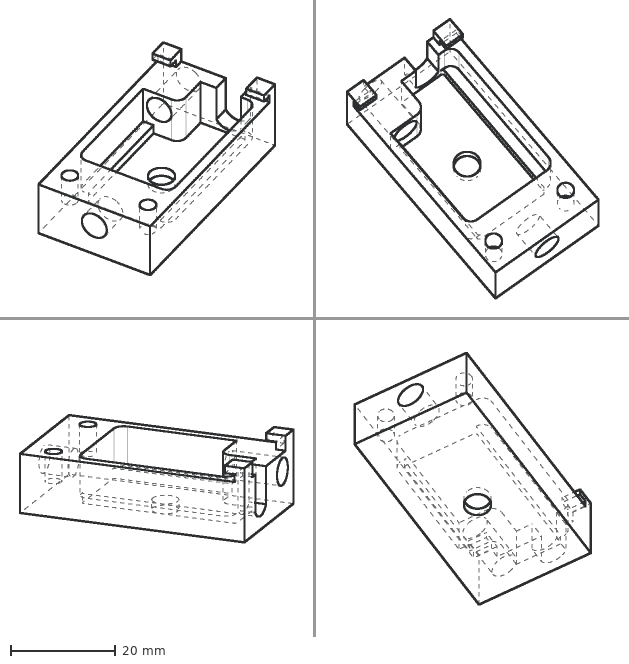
import cadquery as cq

width = 25.0
length = 46.5
height = 15.0
block_height = 12.0

hook_size = 4.05
hook_stem = 2.0
hook_lip = 1.5

pocket_side_wall = 2.1
pocket_front = 10.97
pocket_rear = 42.95
step_width = 8.35
step_front = 35.53
pocket_radius = 2.0
ledge_z = 4.0

channel_side_wall = 4.4
floor_z = 2.0
channel_radius = 0.5

drain_diameter = 5.2
drain_y = 25.0
pin_hole_diameter = 3.2
pin_hole_y = 5.45
pin_hole_edge = 3.75
pin_hole_depth = 6.0
front_bore_diameter = 5.6
front_bore_z = 7.0
front_bore_depth = 6.0
rear_bore_diameter = 5.5
rear_bore_x = 5.65
rear_bore_z = 8.3
slot_width = 5.5
slot_x = 16.75
slot_bottom_diameter = 6.5
slot_bottom_z = 2.8


def box(x0, x1, y0, y1, z0, z1):
    """Axis-aligned box between two opposite corners."""
    return cq.Workplane("XY").box(x1 - x0, y1 - y0, z1 - z0, centered=False).translate((x0, y0, z0))


def y_cylinder(x, z, diameter, y0, y1):
    """Cylinder running along Y from y0 to y1."""
    return cq.Workplane("XZ", origin=(x, y0, z)).circle(diameter / 2).extrude(y0 - y1)


def hook(x0):
    """Rear corner post whose lip overhangs toward the front."""
    x1 = x0 + hook_size
    stem = box(x0, x1, length - hook_stem, length, block_height, height)
    lip = box(x0, x1, length - hook_size, length, height - hook_lip, height)
    return stem.union(lip)


def pocket():
    """Pocket around a solid step, cut down to the ledges, plus the deeper channel."""
    left = pocket_side_wall
    right = width - pocket_side_wall
    step_x = left + step_width
    upper = box(left, right, pocket_front, pocket_rear, ledge_z, block_height)
    upper = upper.edges("|Z and (<Y or >X)").fillet(pocket_radius)
    channel_right = width - channel_side_wall
    channel = box(channel_side_wall, channel_right, pocket_front, pocket_rear, floor_z, block_height)
    channel = channel.edges("|Z").fillet(channel_radius)
    step = box(0, step_x, step_front, length, 0, block_height)
    step = step.edges("|Z and >X and <Y").fillet(pocket_radius)
    return upper.union(channel).cut(step)


def rear_slot():
    """Open-topped slot through the rear wall, with a shallow arc for its bottom."""
    half = slot_width / 2
    y0 = pocket_rear - channel_radius
    axis_z = slot_bottom_z + slot_bottom_diameter / 2
    bottom = y_cylinder(slot_x, axis_z, slot_bottom_diameter, y0, length)
    sides = box(slot_x - half, slot_x + half, y0, length, 0, block_height)
    return sides.intersect(bottom.union(box(0, width, y0, length, axis_z, block_height)))


body = box(0, width, 0, length, 0, block_height)
body = body.cut(pocket()).cut(rear_slot())

drain = cq.Workplane("XY").center(width / 2, drain_y).circle(drain_diameter / 2)
body = body.cut(drain.extrude(block_height))

for x in (pin_hole_edge, width - pin_hole_edge):
    pin_hole = cq.Workplane("XY", origin=(x, pin_hole_y, block_height)).circle(pin_hole_diameter / 2)
    body = body.cut(pin_hole.extrude(-pin_hole_depth))

body = body.cut(y_cylinder(width / 2, front_bore_z, front_bore_diameter, 0, front_bore_depth))
body = body.cut(y_cylinder(rear_bore_x, rear_bore_z, rear_bore_diameter, step_front, length))

for x in (0, width - hook_size):
    body = body.union(hook(x))

result = body